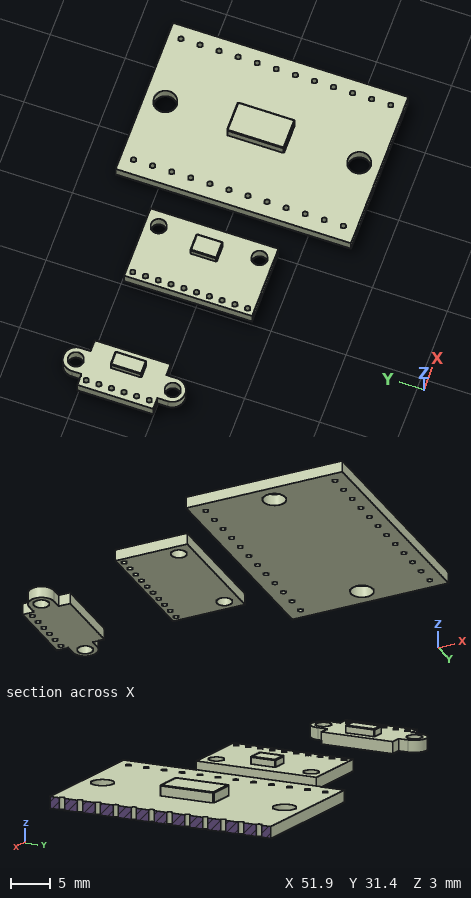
import cadquery as cq

BOARD_THICKNESS = 1.6
PIN_HOLE_DIAMETER = 0.7
MOUNT_HOLE_DIAMETER = 2.0
LOW_CHIP_HEIGHT = 1.0
CHIP_CHAMFER = 0.1

SMALL_WIDTH = 6.65
SMALL_LENGTH = 10.1
SMALL_CENTER_X = SMALL_WIDTH / 2
SMALL_CENTER_Y = 5.15
SMALL_EAR_RADIUS = 1.7
SMALL_EAR_SPAN = 16.25
SMALL_EAR_SHIFT = -0.05
SMALL_MOUNT_SPACING = 12.9
SMALL_PIN_COUNT = 6
SMALL_PIN_SPAN = 8.4
SMALL_PIN_INSET = 1.0
SMALL_CHIP_WIDTH = 1.95
SMALL_CHIP_LENGTH = 4.15
SMALL_CHIP_X = 4.6
SMALL_CHIP_Y = 5.0

MEDIUM_WIDTH = 10.0
MEDIUM_LENGTH = 17.05
MEDIUM_LEFT = 16.4
MEDIUM_CENTER_X = MEDIUM_LEFT + MEDIUM_WIDTH / 2
MEDIUM_CENTER_Y = 1.2
MEDIUM_MOUNT_SPACING = 13.45
MEDIUM_MOUNT_INSET = 2.0
MEDIUM_PIN_COUNT = 10
MEDIUM_PIN_SPAN = 15.3
MEDIUM_PIN_INSET = 0.85
MEDIUM_CHIP_WIDTH = 2.45
MEDIUM_CHIP_LENGTH = 3.55
MEDIUM_CHIP_X = 23.3
MEDIUM_CHIP_Y = 1.15

LARGE_WIDTH = 21.75
LARGE_LENGTH = 31.4
LARGE_RIGHT = 51.9
LARGE_CENTER_X = LARGE_RIGHT - LARGE_WIDTH / 2
LARGE_CENTER_Y = 0.0
LARGE_MOUNT_DIAMETER = 3.0
LARGE_MOUNT_SPACING = 25.85
LARGE_MOUNT_X = 41.15
LARGE_PIN_COUNT = 12
LARGE_PIN_SPAN = 27.95
LARGE_PIN_INSET = 1.95
LARGE_ROW_SPACING = 17.95
LARGE_CHIP_WIDTH = 4.2
LARGE_CHIP_LENGTH = 7.65
LARGE_CHIP_HEIGHT = 1.4
LARGE_CHIP_X = 41.35
LARGE_CHIP_Y = 0.25


def plate(width, length, x, y):
    """Rectangular board centred on (x, y) with its underside at Z = 0."""
    return cq.Workplane("XY").center(x, y).rect(width, length).extrude(BOARD_THICKNESS)


def chip(width, length, height, x, y):
    """Chip standing on the board, with its top and upright edges chamfered."""
    block = (
        cq.Workplane("XY", origin=(x, y, BOARD_THICKNESS))
        .rect(width, length)
        .extrude(height)
    )
    return block.edges("|Z or >Z").chamfer(CHIP_CHAMFER)


def column_points(count, span, x, y):
    """Evenly spaced points along Y, centred on (x, y)."""
    pitch = span / (count - 1)
    return [(x, y - span / 2 + i * pitch) for i in range(count)]


def drill(board, points, diameter):
    """Cut a through hole in the board at each point."""
    drills = cq.Workplane("XY").pushPoints(points).circle(diameter / 2).extrude(BOARD_THICKNESS)
    return board.cut(drills)


def make_small_board():
    ear_y = SMALL_CENTER_Y + SMALL_EAR_SHIFT
    ears = (
        cq.Workplane("XY")
        .center(SMALL_CENTER_X, ear_y)
        .slot2D(SMALL_EAR_SPAN, 2 * SMALL_EAR_RADIUS, 90)
        .extrude(BOARD_THICKNESS)
    )
    board = plate(SMALL_WIDTH, SMALL_LENGTH, SMALL_CENTER_X, SMALL_CENTER_Y).union(ears)
    mounts = column_points(2, SMALL_MOUNT_SPACING, SMALL_CENTER_X, ear_y)
    pins = column_points(SMALL_PIN_COUNT, SMALL_PIN_SPAN, SMALL_PIN_INSET, SMALL_CENTER_Y)
    board = drill(board, mounts, MOUNT_HOLE_DIAMETER)
    board = drill(board, pins, PIN_HOLE_DIAMETER)
    return board.union(
        chip(SMALL_CHIP_WIDTH, SMALL_CHIP_LENGTH, LOW_CHIP_HEIGHT, SMALL_CHIP_X, SMALL_CHIP_Y)
    )


def make_medium_board():
    board = plate(MEDIUM_WIDTH, MEDIUM_LENGTH, MEDIUM_CENTER_X, MEDIUM_CENTER_Y)
    mount_x = MEDIUM_LEFT + MEDIUM_WIDTH - MEDIUM_MOUNT_INSET
    pin_x = MEDIUM_LEFT + MEDIUM_PIN_INSET
    mounts = column_points(2, MEDIUM_MOUNT_SPACING, mount_x, MEDIUM_CENTER_Y)
    pins = column_points(MEDIUM_PIN_COUNT, MEDIUM_PIN_SPAN, pin_x, MEDIUM_CENTER_Y)
    board = drill(board, mounts, MOUNT_HOLE_DIAMETER)
    board = drill(board, pins, PIN_HOLE_DIAMETER)
    return board.union(
        chip(MEDIUM_CHIP_WIDTH, MEDIUM_CHIP_LENGTH, LOW_CHIP_HEIGHT, MEDIUM_CHIP_X, MEDIUM_CHIP_Y)
    )


def make_large_board():
    board = plate(LARGE_WIDTH, LARGE_LENGTH, LARGE_CENTER_X, LARGE_CENTER_Y)
    mounts = column_points(2, LARGE_MOUNT_SPACING, LARGE_MOUNT_X, LARGE_CENTER_Y)
    board = drill(board, mounts, LARGE_MOUNT_DIAMETER)
    left_row_x = LARGE_RIGHT - LARGE_WIDTH + LARGE_PIN_INSET
    for row_x in (left_row_x, left_row_x + LARGE_ROW_SPACING):
        pins = column_points(LARGE_PIN_COUNT, LARGE_PIN_SPAN, row_x, LARGE_CENTER_Y)
        board = drill(board, pins, PIN_HOLE_DIAMETER)
    return board.union(
        chip(LARGE_CHIP_WIDTH, LARGE_CHIP_LENGTH, LARGE_CHIP_HEIGHT, LARGE_CHIP_X, LARGE_CHIP_Y)
    )


small_board = make_small_board()
medium_board = make_medium_board()
large_board = make_large_board()

result = cq.Compound.makeCompound([small_board.val(), medium_board.val(), large_board.val()])